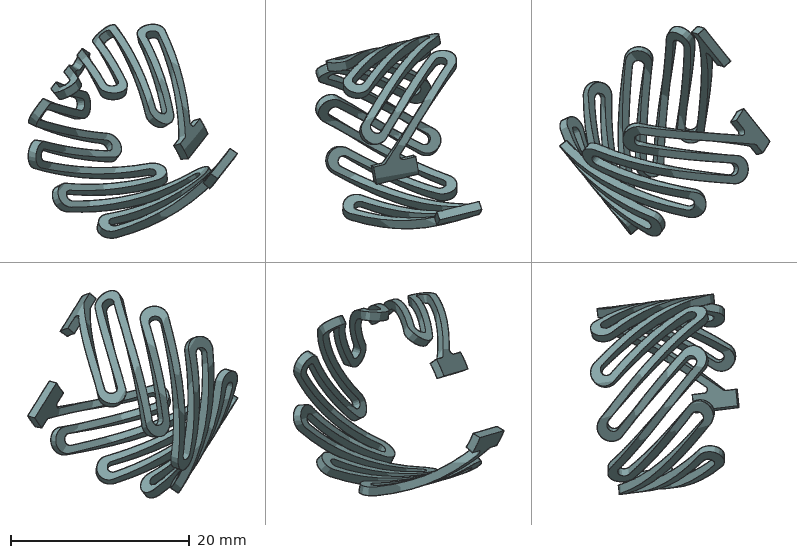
import cadquery as cq
import math

OUTER_RADIUS = 10.5
THICKNESS = 1.0
INNER_RADIUS = OUTER_RADIUS - THICKNESS
MID_RADIUS = OUTER_RADIUS - THICKNESS / 2
HEIGHT = 13.3

PITCH_ANGLE = 35.1
SLANT = math.radians(47.3)
SLOT_RADIUS = 0.7
LOOP_OFFSET = 0.4
LOOP_PAIRS = 7
JOIN_Y = 2.1

STRUT_SPACING = MID_RADIUS * math.radians(PITCH_ANGLE) / 2
STRUT_WIDTH = STRUT_SPACING * math.sin(SLANT) - 2 * SLOT_RADIUS
LOOP_RADIUS = SLOT_RADIUS + STRUT_WIDTH
STRUT_HALF_S = STRUT_WIDTH / math.sin(SLANT) / 2
LAST_STRUT = LOOP_PAIRS

BAR_START = 145.5
BAR_END = 156.9
BAR_TOP = -1.24
BAR_LENGTH = 5.0
BAR_FILLET = 0.4
BAR_OVERLAP = 0.42

NEAR_PLANE = 7.55
FAR_PLANE = 11.35
WALL_HALF_ANGLE = 40.0
CURVE_STEPS = 8


def strut_s(y, offset=0.0):
    """s of a line parallel to the struts, shifted sideways from the middle strut."""
    return offset - y / math.tan(SLANT)


def line(start, end):
    return [
        (start[0] + (end[0] - start[0]) * i / CURVE_STEPS, start[1] + (end[1] - start[1]) * i / CURVE_STEPS)
        for i in range(CURVE_STEPS + 1)
    ]


def arc(center, radius, start, end):
    angles = [start + (end - start) * i / CURVE_STEPS for i in range(CURVE_STEPS + 1)]
    return [(center[0] + radius * math.cos(a), center[1] + radius * math.sin(a)) for a in angles]


def chain(*curves):
    """Close the given curves into one outline, adding straight lines between them."""
    outline = []
    for curve, following in zip(curves, curves[1:] + curves[:1]):
        outline.append(curve)
        outline.append(line(curve[-1], following[0]))
    return outline


def sector(radius_in, radius_out, start, end, y):
    """Annular sector across the axis at height y; angles in radians."""
    def at(radius, angle):
        return (radius * math.cos(angle), radius * math.sin(angle))

    middle = (start + end) / 2
    plane = cq.Plane(origin=(0, y, 0), xDir=(-1, 0, 0), normal=(0, 1, 0))
    return (
        cq.Workplane(plane)
        .moveTo(*at(radius_in, start))
        .lineTo(*at(radius_out, start))
        .threePointArc(at(radius_out, middle), at(radius_out, end))
        .lineTo(*at(radius_in, end))
        .threePointArc(at(radius_in, middle), at(radius_in, start))
        .close()
    )


def turned(shape, degrees):
    return shape.rotate((0, 0, 0), (0, 1, 0), degrees)


def wrap(outline, wall, center_s):
    """Cut the outline from the ring wall with radial sides."""
    def wire_at(distance):
        edges = []
        for curve in outline:
            points = [
                cq.Vector(-distance, y, distance * math.tan((s - center_s) / MID_RADIUS)) for s, y in curve
            ]
            edges.append(cq.Edge.makeSpline(points))
        return cq.Wire.assembleEdges(edges)

    wedge = cq.Solid.makeLoft([wire_at(NEAR_PLANE), wire_at(FAR_PLANE)], True)
    return turned(wall.intersect(cq.Workplane(wedge)), math.degrees(center_s / MID_RADIUS))


def make_wall():
    """Stretch of plain ring wall facing -X, wide enough for one loop."""
    half_angle = math.radians(WALL_HALF_ANGLE)
    return sector(INNER_RADIUS, OUTER_RADIUS, -half_angle, half_angle, -HEIGHT).extrude(2 * HEIGHT)


def make_strut():
    """Middle strut, a twisted sector between the two joining heights."""
    start_angle = strut_s(-JOIN_Y) / MID_RADIUS
    half_angle = STRUT_HALF_S / MID_RADIUS
    profile = sector(INNER_RADIUS, OUTER_RADIUS, start_angle - half_angle, start_angle + half_angle, -JOIN_Y)
    return profile.twistExtrude(2 * JOIN_Y, -2 * math.degrees(start_angle))


def make_loop(wall):
    """Loop on the +Y side, joining the middle strut to the next one."""
    slot_line = STRUT_SPACING / 2
    loop_y = HEIGHT / 2 - LOOP_RADIUS
    slot_y = loop_y - LOOP_OFFSET * math.sin(SLANT)
    loop_center = (strut_s(loop_y, slot_line), loop_y)
    slot_center = (strut_s(slot_y, slot_line), slot_y)
    right = math.pi / 2 - SLANT
    left = right + math.pi
    join_s = strut_s(JOIN_Y)
    next_s = join_s + STRUT_SPACING
    outline = chain(
        arc(loop_center, LOOP_RADIUS, right, left),
        line((join_s - STRUT_HALF_S, JOIN_Y), (join_s + STRUT_HALF_S, JOIN_Y)),
        arc(slot_center, SLOT_RADIUS, left, right),
        line((next_s - STRUT_HALF_S, JOIN_Y), (next_s + STRUT_HALF_S, JOIN_Y)),
    )
    return wrap(outline, wall, join_s + slot_line)


def make_end(wall):
    """End bar and the filleted foot of the last strut."""
    start, end = math.radians(BAR_START), math.radians(BAR_END)
    bar = sector(INNER_RADIUS, OUTER_RADIUS, start, end, BAR_TOP - BAR_LENGTH).extrude(BAR_LENGTH)

    bar_s = start * MID_RADIUS
    axis_s = LAST_STRUT * STRUT_SPACING
    fillet_s = bar_s - BAR_FILLET
    side_shift = STRUT_HALF_S + BAR_FILLET / math.sin(SLANT)
    upper_center = (fillet_s, (axis_s + side_shift - fillet_s) * math.tan(SLANT))
    lower_center = (fillet_s, (axis_s - side_shift - fillet_s) * math.tan(SLANT))
    right = math.pi / 2 - SLANT
    left = right + math.pi
    top_s = strut_s(-JOIN_Y, axis_s)
    upper_fillet = arc(upper_center, BAR_FILLET, left, 2 * math.pi)
    lower_fillet = arc(lower_center, BAR_FILLET, 0, right)
    inside_s = bar_s + BAR_OVERLAP
    outline = chain(
        upper_fillet,
        line((inside_s, upper_center[1]), (inside_s, lower_center[1])),
        lower_fillet,
        line((top_s - STRUT_HALF_S, -JOIN_Y), (top_s + STRUT_HALF_S, -JOIN_Y)),
    )
    return bar.union(wrap(outline, wall, bar_s))


def opposite(shape):
    """Half turn about the X axis, the symmetry of the whole part."""
    return shape.rotate((0, 0, 0), (1, 0, 0), 180)


wall = make_wall()
strut = make_strut()
loop = make_loop(wall)
end = make_end(wall)

pieces = [turned(strut, i * PITCH_ANGLE / 2) for i in range(-LAST_STRUT, LAST_STRUT + 1)]
for i in range(LOOP_PAIRS):
    placed_loop = turned(loop, (i - LOOP_PAIRS // 2) * PITCH_ANGLE)
    pieces += [placed_loop, opposite(placed_loop)]
pieces += [end, opposite(end)]

others = [piece.val() for piece in pieces[1:]]
joined = pieces[0].val().fuse(*others, glue=True)
result = cq.Workplane(joined.Solids()[0])